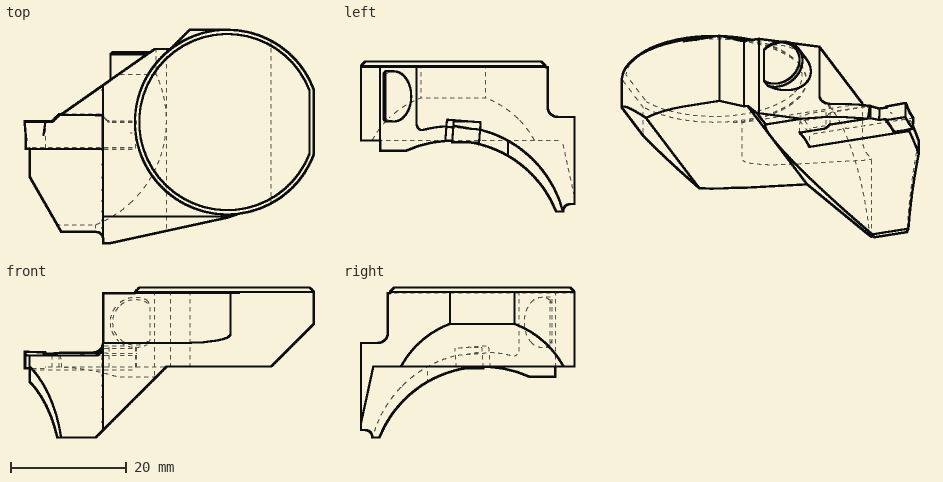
import cadquery as cq
import math


disc_radius = 16.0
disc_bevel = 0.75
flat_x = 15.0

body_top = -1.0
underside = -13.7
lowest = -26.0
body_face_x = -21.5
underside_front_x = -10.5
underside_rear_x = 7.6
jaw_floor = -15.5
jaw_angle = math.radians(35)
jaw_start_y = 6.4
jaw_end_y = 12.65
shoulder_x = -6.5
shoulder_step = disc_radius - jaw_end_y
wing_y = -21.0
wing_flat_end_x = -20.4
wing_tail = (0.0, -16.55)
disc_contact_x = 2.0
ledge_y = -16.35
ledge_top = -9.6
ledge_fillet = 1.7

blade_front_x = -34.2
blade_axis_y = 0.2
blade_outer_radius = 19.85
blade_top = -11.2
blade_root_fillet = 1.65
bore_radius = 19.35
bore_top = -13.75
blade_end_start_y = -9.5
blade_end_finish = (-27.6, wing_y)

screw_x = -15.9
screw_z = -6.05
screw_radius = 4.35
screw_end_y = 12.1
screw_chamfer = 0.4
screw_depth = 14.0

insert_tilt = 4.5
insert_land_z = -11.42
insert_tip_x = -35.1
insert_front_x = -34.9
front_bend_y = -2.45
insert_middle_x = -25.4
insert_upper_y = 1.2
insert_lower_y = -4.65
rake_step_x = -30.3
insert_prism_depth = 5.0
pocket_headroom = 1.25
head_rear_x = -31.5
head_bottom = -14.0
pad_corner = (-31.8, -2.2)
pad_foot = (-34.75, -3.15)
pad_slope = 0.1
pad_blank_height = 1.0
pad_run = 5.0

clear = 60.0


def jaw_x(y):
    """X of the sloping jaw face at a given Y."""
    return body_face_x + (y - jaw_start_y) / math.tan(jaw_angle)


def make_disc():
    disc = cq.Workplane("XY").circle(disc_radius).extrude(underside)
    beyond_flat = cq.Workplane("XY").box(clear, clear, clear).translate((flat_x + clear / 2, 0, 0))
    return disc.cut(beyond_flat).faces(">Z").chamfer(disc_bevel)


def make_block():
    """Block beside the disc: sloping jaw on +Y, ledged wing on -Y."""
    contact_y = -math.sqrt(disc_radius**2 - disc_contact_x**2)
    outline = [
        (body_face_x, wing_y),
        (wing_flat_end_x, wing_y),
        wing_tail,
        (disc_contact_x, contact_y),
        (0, disc_radius),
        (shoulder_x, disc_radius),
        (shoulder_x - shoulder_step, jaw_end_y),
        (jaw_x(jaw_end_y), jaw_end_y),
        (body_face_x, jaw_start_y),
    ]
    block = cq.Workplane("XY").workplane(offset=body_top).polyline(outline).close().extrude(lowest - body_top)
    above_ledge = (
        cq.Workplane("XY")
        .box(clear, clear, clear, centered=(True, False, False))
        .translate((0, ledge_y - clear, ledge_top))
        .edges("|X and >Y and <Z")
        .fillet(ledge_fillet)
    )
    return block.cut(above_ledge)


def make_blade():
    """Blade curved about an axis along X, with a fillet at its root."""
    axis_z = blade_top - blade_outer_radius
    fillet_radius_end = blade_outer_radius + blade_root_fillet
    fillet_mid = blade_root_fillet * (1 - math.sqrt(0.5))
    ring = (
        cq.Workplane("XZ")
        .moveTo(blade_front_x, 0)
        .lineTo(blade_front_x, blade_outer_radius)
        .lineTo(body_face_x - blade_root_fillet, blade_outer_radius)
        .threePointArc(
            (body_face_x - fillet_mid, blade_outer_radius + fillet_mid),
            (body_face_x, fillet_radius_end),
        )
        .lineTo(body_face_x, 0)
        .close()
        .revolve(360, (0, 0), (1, 0))
        .translate((0, blade_axis_y, axis_z))
    )
    outline = [
        (body_face_x, wing_y),
        (body_face_x, jaw_start_y),
        (jaw_x(insert_upper_y), insert_upper_y),
        (jaw_x(insert_upper_y), front_bend_y),
        (blade_front_x, front_bend_y),
        (blade_front_x, blade_end_start_y),
        blade_end_finish,
    ]
    footprint = cq.Workplane("XY").polyline(outline).close().extrude(lowest)
    return ring.intersect(footprint)


def make_side_envelope():
    """Everything above the stepped, 45-degree sloping underside."""
    front_rise = underside - lowest
    rear_rise = flat_x - underside_rear_x
    outline = [
        (insert_tip_x, 0),
        (insert_tip_x, lowest),
        (underside_front_x - front_rise, lowest),
        (underside_front_x, underside),
        (underside_rear_x, underside),
        (flat_x, underside + rear_rise),
        (flat_x, 0),
    ]
    return cq.Workplane("XZ").polyline(outline).close().extrude(clear / 2, both=True)


def make_bore():
    """Cylinder along X that hollows the blade's inner side."""
    return (
        cq.Workplane("YZ")
        .center(blade_axis_y, bore_top - bore_radius)
        .circle(bore_radius)
        .extrude(clear, both=True)
    )


def make_screw():
    return (
        cq.Workplane("XZ", origin=(screw_x, screw_end_y, screw_z))
        .circle(screw_radius)
        .extrude(screw_depth)
        .faces(">Y")
        .chamfer(screw_chamfer)
    )


def place_insert(shape):
    """Move a shape from the insert's own frame to its seat."""
    return shape.rotate((0, 0, 0), (1, 0, 0), insert_tilt).translate((0, 0, insert_land_z))


def insert_prism(bottom, top):
    """Prism on the insert's outline, which is mirrored end to end about the insert's middle."""
    front_half = [
        (insert_front_x, insert_lower_y),
        (insert_front_x, front_bend_y),
        (insert_tip_x, 0),
        (rake_step_x, 0),
        (rake_step_x + insert_upper_y, insert_upper_y),
    ]
    rear_half = [(2 * insert_middle_x - x, y) for x, y in reversed(front_half)]
    outline = front_half + rear_half
    return cq.Workplane("XY").workplane(offset=bottom).polyline(outline).close().extrude(top - bottom)


def make_pocket():
    """Seat for the insert, with headroom that cuts the root fillet and runs into the body."""
    return place_insert(insert_prism(-insert_prism_depth, pocket_headroom))


def make_pad():
    """Low wedge on the insert's land behind the cutting corner."""
    outline = [(insert_tip_x, 0), (head_rear_x, 0), pad_corner, pad_foot, (insert_front_x, front_bend_y)]
    prism = cq.Workplane("XY").polyline(outline).close().extrude(pad_blank_height)
    edge = (pad_corner[0] - pad_foot[0], pad_corner[1] - pad_foot[1], 0)
    slope_plane = cq.Plane(origin=(*pad_corner, 0), xDir=(-edge[1], edge[0], 0), normal=(edge[0], edge[1], 0))
    rise = pad_run * pad_slope
    wedge = (
        cq.Workplane(slope_plane)
        .polyline([(0, 0), (pad_run, 0), (pad_run, rise)])
        .close()
        .extrude(pad_run, both=True)
    )
    return prism.intersect(wedge)


def make_insert():
    insert = place_insert(insert_prism(-insert_prism_depth, 0).union(make_pad()))
    behind_head = cq.Workplane("XY").box(clear, clear, clear).translate((head_rear_x + clear / 2, 0, 0))
    below_head = (
        cq.Workplane("XY")
        .box(clear, clear, clear)
        .translate((head_rear_x - clear / 2, 0, head_bottom - clear / 2))
    )
    return insert.cut(make_bore().intersect(behind_head)).cut(below_head)


def make_holder():
    below_jaw = (
        cq.Workplane("XY")
        .box(clear, clear, clear, centered=(True, False, False))
        .translate((0, 0, jaw_floor - clear))
    )
    holder = make_block().union(make_blade()).union(make_disc()).intersect(make_side_envelope())
    holder = holder.cut(make_bore()).cut(below_jaw).cut(make_pocket())
    return holder.union(make_screw())


holder = make_holder()
insert = make_insert()

result = cq.Compound.makeCompound([holder.solids().val(), insert.solids().val()])